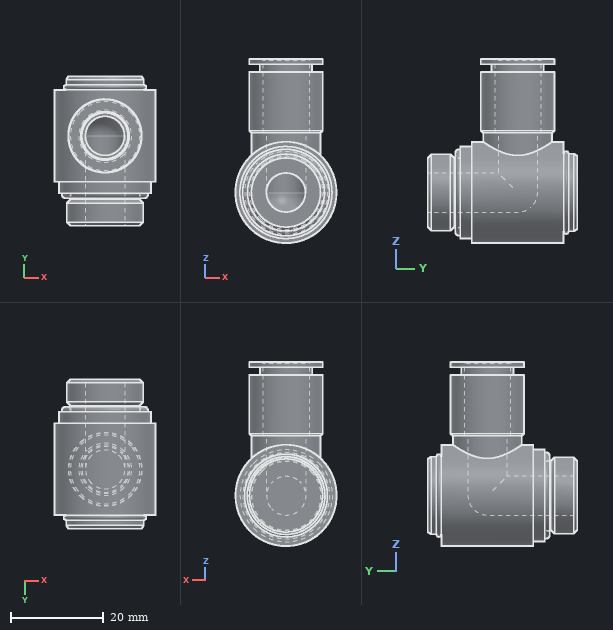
import cadquery as cq

BODY_DIAMETER = 22.0
BODY_LENGTH = 20.0
BODY_BOTTOM = -BODY_DIAMETER / 2
BODY_FRONT = -BODY_LENGTH / 2
BODY_BACK = BODY_LENGTH / 2

FLANGE_DIAMETER = 20.0
FLANGE_LENGTH = 2.5
FLANGE_FRONT = BODY_FRONT - FLANGE_LENGTH
FRONT_RING_DIAMETER = 18.8
FRONT_RING_RADIUS = 0.9
FRONT_RING_OFFSET = 0.15
FRONT_RING_CENTER = FLANGE_FRONT - FRONT_RING_OFFSET
NECK_DIAMETER = 14.95
PLUG_DIAMETER = 16.7
PLUG_LENGTH = 5.8
PLUG_CHAMFER = 0.85
FRONT_END = -19.5
PLUG_BACK = FRONT_END + PLUG_LENGTH

CAP_DIAMETER = 16.85
CAP_LENGTH = 2.95
CAP_CHAMFER_LENGTH = 0.75
CAP_CHAMFER_DEPTH = 0.5
BACK_RING_DIAMETER = 18.0
BACK_RING_RADIUS = 0.5
BACK_RING_CENTER = BODY_BACK + BACK_RING_RADIUS

TOTAL_HEIGHT = 40.0
TOP = BODY_BOTTOM + TOTAL_HEIGHT
STEM_DIAMETER = 15.0
SOCKET_DIAMETER = 16.0
SOCKET_BOTTOM = 12.9
SOCKET_TAPER_LENGTH = 0.45
SOCKET_TOP = 26.25
COLLAR_NECK_DIAMETER = 11.4
COLLAR_THICKNESS = 1.25
EDGE_CHAMFER = 0.1

PASSAGE_DIAMETER = 8.5
TUBE_BORE_DIAMETER = 10.0
TUBE_BORE_CHAMFER = 0.3


def cylinder_y(diameter, start, end):
    """Cylinder on the Y axis between two Y positions, start below end."""
    base = cq.Workplane("XZ", origin=(0, start, 0))
    return base.circle(diameter / 2).extrude(start - end)


def cylinder_z(diameter, start, end):
    """Cylinder on the Z axis between two Z positions."""
    return cq.Workplane("XY").workplane(offset=start).circle(diameter / 2).extrude(end - start)


def seal_ring(outer_diameter, section_radius, center):
    """Ring of round cross-section around the Y axis."""
    section_center = outer_diameter / 2 - section_radius
    section_plane = cq.Plane(origin=(section_center, center, 0), xDir=(-1, 0, 0), normal=(0, 0, 1))
    section = cq.Workplane(section_plane).circle(section_radius)
    return section.revolve(360, (section_center, 0), (section_center, 1))


def make_body():
    body = cylinder_y(BODY_DIAMETER, BODY_FRONT, BODY_BACK)
    return body.union(cylinder_y(FLANGE_DIAMETER, FLANGE_FRONT, BODY_FRONT))


def make_threaded_end():
    plug = cylinder_y(PLUG_DIAMETER, FRONT_END, PLUG_BACK).edges().chamfer(PLUG_CHAMFER)
    neck = cylinder_y(NECK_DIAMETER, PLUG_BACK, BODY_FRONT)
    ring = seal_ring(FRONT_RING_DIAMETER, FRONT_RING_RADIUS, FRONT_RING_CENTER)
    return neck.union(plug).union(ring)


def make_cap():
    cap_end = BODY_BACK + CAP_LENGTH
    cap_radius = CAP_DIAMETER / 2
    cap = (
        cq.Workplane("XY")
        .moveTo(0, 0)
        .lineTo(cap_radius, 0)
        .lineTo(cap_radius, cap_end - CAP_CHAMFER_LENGTH)
        .lineTo(cap_radius - CAP_CHAMFER_DEPTH, cap_end)
        .lineTo(0, cap_end)
        .close()
        .revolve(360, (0, 0, 0), (0, 1, 0))
    )
    return cap.union(seal_ring(BACK_RING_DIAMETER, BACK_RING_RADIUS, BACK_RING_CENTER))


def make_socket():
    taper_depth = (SOCKET_DIAMETER - STEM_DIAMETER) / 2
    stem = cylinder_z(STEM_DIAMETER, 0, SOCKET_TOP)
    socket = (
        cylinder_z(SOCKET_DIAMETER, SOCKET_BOTTOM, SOCKET_TOP)
        .faces(">Z").edges().chamfer(EDGE_CHAMFER)
        .faces("<Z").edges().chamfer(SOCKET_TAPER_LENGTH, taper_depth)
    )
    collar_neck = cylinder_z(COLLAR_NECK_DIAMETER, SOCKET_BOTTOM, TOP)
    collar = cylinder_z(SOCKET_DIAMETER, TOP - COLLAR_THICKNESS, TOP)
    collar = collar.faces(">Z").edges().chamfer(EDGE_CHAMFER)
    return stem.union(socket).union(collar_neck).union(collar)


def make_passage():
    """Elbow passage with a spherical corner and a wider bore for the tube."""
    corner = cq.Workplane("XY").sphere(PASSAGE_DIAMETER / 2)
    front = cylinder_y(PASSAGE_DIAMETER, FRONT_END, 0)
    riser = cylinder_z(PASSAGE_DIAMETER, 0, TOP)
    tube_bore = cylinder_z(TUBE_BORE_DIAMETER, SOCKET_BOTTOM, TOP)
    return corner.union(front).union(riser).union(tube_bore)


solid = make_body().union(make_threaded_end()).union(make_cap()).union(make_socket())
result = solid.cut(make_passage())

result = result.faces(">Z").edges(cq.selectors.RadiusNthSelector(0)).chamfer(TUBE_BORE_CHAMFER)